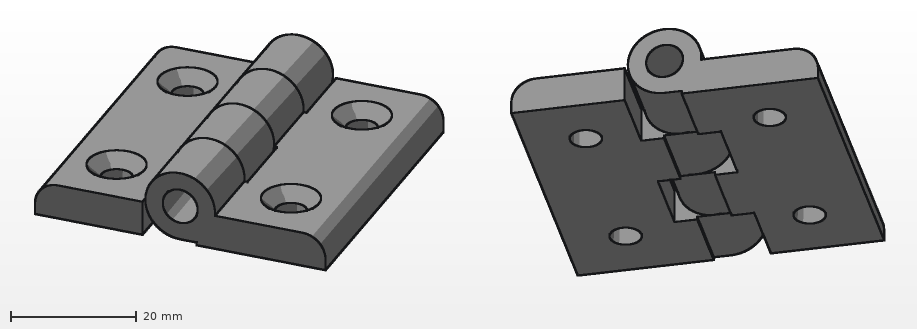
import cadquery as cq

hinge_width = 50.0
hinge_length = 50.0
hinge_height = 12.5

leaf_thickness = 6.0
edge_radius = 4.0
foot_inner_x = 2.8

barrel_radius = 6.0
bore_diameter = 6.0
barrel_z = hinge_height - barrel_radius
barrel_bottom = barrel_z - barrel_radius
knuckle_gap = 0.5
knuckle_count = 4
knuckle_length = hinge_length / knuckle_count
notch_x = barrel_radius + knuckle_gap

screw_x = 15.0
screw_y = 15.0
screw_diameter = 5.15
countersink_diameter = 9.6
countersink_angle = 90.0

half_width = hinge_width / 2
half_length = hinge_length / 2


def along_y(profile, start_y, length):
    """Extrude an XZ profile from start_y toward +Y."""
    return profile.extrude(-length).translate((0, start_y, 0))


def plate():
    """Plate on the +X side, ending at the notch line, with a rounded outer edge."""
    profile = (
        cq.Workplane("XZ")
        .moveTo(notch_x, 0)
        .lineTo(half_width, 0)
        .lineTo(half_width, leaf_thickness - edge_radius)
        .radiusArc((half_width - edge_radius, leaf_thickness), -edge_radius)
        .lineTo(notch_x, leaf_thickness)
        .close()
    )
    return along_y(profile, -half_length, hinge_length)


def knuckle(start_y):
    """Barrel segment with the web that joins it to the +X plate."""
    barrel = along_y(
        cq.Workplane("XZ").center(0, barrel_z).circle(barrel_radius), start_y, knuckle_length
    )
    web_profile = (
        cq.Workplane("XZ")
        .moveTo(0, barrel_bottom)
        .lineTo(foot_inner_x, barrel_bottom)
        .lineTo(foot_inner_x, 0)
        .lineTo(notch_x, 0)
        .lineTo(notch_x, leaf_thickness)
        .lineTo(0, leaf_thickness)
        .close()
    )
    return barrel.union(along_y(web_profile, start_y, knuckle_length))


def cut_bore(body):
    """Open the pin bore through every knuckle."""
    bore = along_y(
        cq.Workplane("XZ").center(0, barrel_z).circle(bore_diameter / 2), -half_length, hinge_length
    )
    return body.cut(bore)


def cut_screw_holes(body):
    """Two countersunk holes through the plate."""
    return (
        body.copyWorkplane(cq.Workplane("XY", origin=(0, 0, leaf_thickness)))
        .pushPoints([(screw_x, -screw_y), (screw_x, screw_y)])
        .cskHole(screw_diameter, countersink_diameter, countersink_angle, leaf_thickness)
    )


def leaf():
    """Hinge leaf on the +X side, with every second knuckle starting at -Y."""
    body = plate()
    for index in range(0, knuckle_count, 2):
        body = body.union(knuckle(-half_length + index * knuckle_length))
    return cut_screw_holes(cut_bore(body))


right_leaf = leaf()

left_leaf = leaf().rotate((0, 0, 0), (0, 0, 1), 180)

result = cq.Compound.makeCompound([right_leaf.val(), left_leaf.val()])